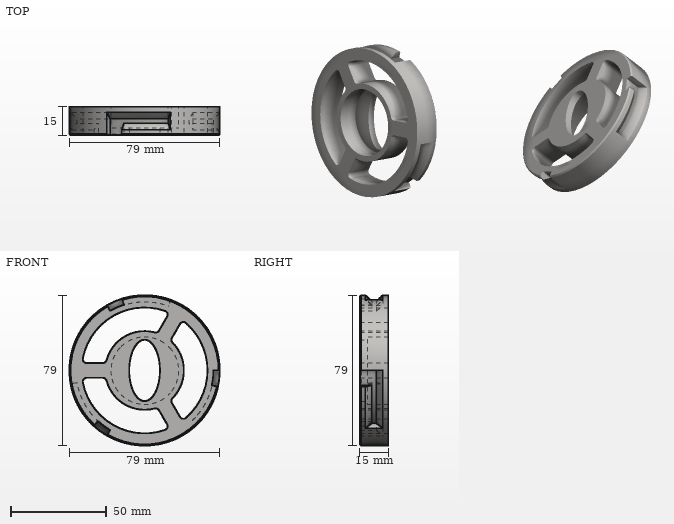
import cadquery as cq
import math

outer_radius = 39.5
thickness = 15.0
front_chamfer = 0.7

bore_width = 16.0
bore_height = 32.1

recess_diameter = 35.5
recess_depth = 11.0

hub_radius = 20.7
rim_inner_radius = 32.95
spoke_width = 7.9
window_corner_radius = 2.0
first_spoke_angle = 60.0

repeat_count = 3
slot_depth = 3.4
slot_mouth_width = 9.0
slot_sweep = 50.0
entry_sweep = 12.5

repeat_angle = 360.0 / repeat_count
front_y = -thickness / 2
slot_floor_radius = outer_radius - slot_depth
slot_floor_half_width = slot_mouth_width / 2 - slot_depth
cut_overshoot = 0.8


def rotate_about_axis(shape, angle):
    """Turn a shape about Y, from +X toward +Z for a positive angle."""
    return shape.rotate((0, 0, 0), (0, 1, 0), -angle)


def back_plane():
    """Workplane on the back face, whose normal points toward the front."""
    return cq.Workplane("XZ", origin=(0, thickness / 2, 0))


def make_disc():
    disc = back_plane().circle(outer_radius).extrude(thickness)
    return disc.faces("<Y").chamfer(front_chamfer)


def make_bore():
    return back_plane().ellipse(bore_width / 2, bore_height / 2).extrude(thickness)


def make_back_recess():
    """Round recess in the hub, open to the back."""
    return back_plane().circle(recess_diameter / 2).extrude(recess_depth)


def make_window():
    """Window centred on +X, with side edges parallel to the adjacent spokes."""
    ring = (
        back_plane()
        .circle(rim_inner_radius)
        .circle(hub_radius)
        .extrude(thickness)
    )
    half_angle = math.radians(repeat_angle / 2)
    tip_x = spoke_width / 2 / math.sin(half_angle)
    side_length = 2 * outer_radius
    side_x = tip_x + side_length * math.cos(half_angle)
    side_z = side_length * math.sin(half_angle)
    sector = (
        back_plane()
        .polyline([(tip_x, 0), (side_x, -side_z), (side_x + side_length, 0), (side_x, side_z)])
        .close()
        .extrude(thickness)
    )
    return ring.intersect(sector).edges("|Y").fillet(window_corner_radius)


def revolve_clockwise(profile, sweep):
    """Revolve a profile on the +X side from +X toward -Z."""
    return profile.close().revolve(sweep, (0, 0, 0), (0, 1, 0))


def make_bayonet_slot():
    """Tapered groove with an entry open to the front, starting at +X."""
    mouth_radius = outer_radius + cut_overshoot
    mouth_half_width = slot_mouth_width / 2 + cut_overshoot
    groove_profile = cq.Workplane("XY").polyline([
        (slot_floor_radius, -slot_floor_half_width),
        (mouth_radius, -mouth_half_width),
        (mouth_radius, mouth_half_width),
        (slot_floor_radius, slot_floor_half_width),
    ])
    entry_profile = cq.Workplane("XY").polyline([
        (slot_floor_radius, front_y - cut_overshoot),
        (mouth_radius, front_y - cut_overshoot),
        (mouth_radius, 0),
        (slot_floor_radius, 0),
    ])
    groove = revolve_clockwise(groove_profile, slot_sweep)
    entry = revolve_clockwise(entry_profile, entry_sweep)
    return groove.union(entry)


result = make_disc().cut(make_bore()).cut(make_back_recess())
window = make_window()
bayonet_slot = make_bayonet_slot()
for index in range(repeat_count):
    turn = index * repeat_angle
    window_angle = first_spoke_angle + repeat_angle / 2 + turn
    result = result.cut(rotate_about_axis(window, window_angle))
    result = result.cut(rotate_about_axis(bayonet_slot, turn))